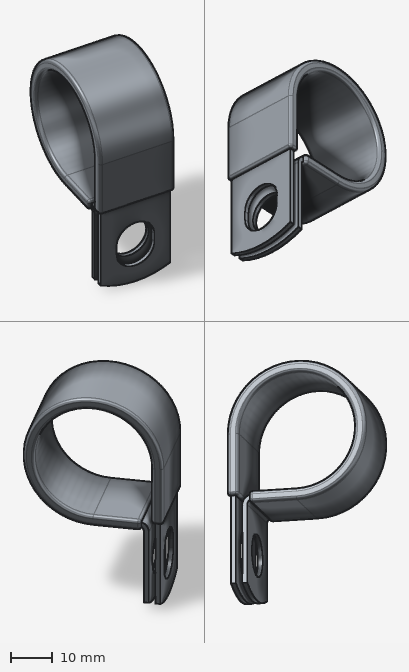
import cadquery as cq
import math

DIAGONAL = math.sqrt(0.5)

loop_inner_radius = 14.2875
strap_thickness = 1.2192
strap_width = 19.05
cushion_thickness = 0.79375
tab_bottom_z = -38.866
tab_end_radius = 22.225
hole_diameter = 10.319
slot_length = 12.7
hole_to_tab_end = 11.1125
bend_inner_radius = strap_thickness
cushion_end_x = 11.69

cushion_width = strap_width + 2 * cushion_thickness
strap_inner_radius = loop_inner_radius + cushion_thickness
strap_outer_radius = strap_inner_radius + strap_thickness
loop_outer_radius = strap_outer_radius + cushion_thickness

bent_tab_outer_x = strap_inner_radius - 2 * cushion_thickness
bent_tab_inner_x = bent_tab_outer_x - strap_thickness
bend_outer_radius = bend_inner_radius + strap_thickness
bend_center_x = bent_tab_outer_x - bend_outer_radius
bend_center_z = -strap_inner_radius - bend_outer_radius

cushion_end_z = -loop_inner_radius - cushion_thickness

hole_z = tab_bottom_z + hole_to_tab_end


def extrude_centered(outline, width):
    """Extrude an XZ outline symmetrically about Y = 0."""
    return outline.close().extrude(width / 2, both=True)


def loop_outline(inner_radius, outer_radius, upright_end_z, flat_end_x):
    """Three-quarter ring with a straight upright leg and a straight flat leg."""
    inner_mid = inner_radius * DIAGONAL
    outer_mid = outer_radius * DIAGONAL
    return (
        cq.Workplane("XZ")
        .moveTo(outer_radius, upright_end_z)
        .lineTo(outer_radius, 0)
        .threePointArc((-outer_mid, outer_mid), (0, -outer_radius))
        .lineTo(flat_end_x, -outer_radius)
        .lineTo(flat_end_x, -inner_radius)
        .lineTo(0, -inner_radius)
        .threePointArc((-inner_mid, inner_mid), (inner_radius, 0))
        .lineTo(inner_radius, upright_end_z)
    )


def make_cushion():
    """Rubber cushion, rounded along both sides and around both ends."""
    outline = loop_outline(loop_inner_radius, loop_outer_radius, cushion_end_z, cushion_end_x)
    cushion = extrude_centered(outline, cushion_width)
    mid_radius = (loop_inner_radius + loop_outer_radius) / 2
    flat_end = cq.selectors.NearestToPointSelector((cushion_end_x, 0, -mid_radius))
    upright_end = cq.selectors.NearestToPointSelector((mid_radius, 0, cushion_end_z))
    rounded_edges = cushion.faces("|Y").edges()
    rounded_edges = rounded_edges.add(cushion.faces(flat_end).edges())
    rounded_edges = rounded_edges.add(cushion.faces(upright_end).edges())
    return rounded_edges.fillet(cushion_thickness)


def make_strap_loop():
    """Metal strap: loop, flat leg up to the bend, and straight upright tab."""
    outline = loop_outline(strap_inner_radius, strap_outer_radius, tab_bottom_z, bend_center_x)
    return extrude_centered(outline, strap_width)


def make_bent_tab():
    """Quarter bend from the flat leg down into the second tab."""
    outer_mid = bend_outer_radius * DIAGONAL
    inner_mid = bend_inner_radius * DIAGONAL
    outline = (
        cq.Workplane("XZ")
        .moveTo(bend_center_x, -strap_inner_radius)
        .threePointArc(
            (bend_center_x + outer_mid, bend_center_z + outer_mid),
            (bent_tab_outer_x, bend_center_z),
        )
        .lineTo(bent_tab_outer_x, tab_bottom_z)
        .lineTo(bent_tab_inner_x, tab_bottom_z)
        .lineTo(bent_tab_inner_x, bend_center_z)
        .threePointArc(
            (bend_center_x + inner_mid, bend_center_z + inner_mid),
            (bend_center_x, -strap_outer_radius),
        )
    )
    return extrude_centered(outline, strap_width)


def make_tab_end_trim():
    """Material outside the rounded lower end of both tabs."""
    half_width = strap_width / 2
    end_rise = tab_end_radius - math.sqrt(tab_end_radius**2 - half_width**2)
    corner_z = tab_bottom_z + end_rise
    trim_clearance = 1.0
    trim_floor_z = tab_bottom_z - trim_clearance
    return (
        cq.Workplane("YZ")
        .moveTo(-half_width, corner_z)
        .threePointArc((0, tab_bottom_z), (half_width, corner_z))
        .lineTo(half_width, trim_floor_z)
        .lineTo(-half_width, trim_floor_z)
        .close()
        .extrude(loop_outer_radius)
    )


def make_bolt_hole():
    """Round hole through the bent tab."""
    return (
        cq.Workplane("YZ", origin=(0, 0, hole_z))
        .circle(hole_diameter / 2)
        .extrude(bent_tab_outer_x)
    )


def make_bolt_slot():
    """Vertical slot through the upright tab, centered on the bolt hole."""
    slot_angle = 90
    return (
        cq.Workplane("YZ", origin=(bent_tab_outer_x, 0, hole_z))
        .slot2D(slot_length, hole_diameter, slot_angle)
        .extrude(loop_outer_radius - bent_tab_outer_x)
    )


strap = make_strap_loop().union(make_bent_tab())
strap = strap.cut(make_tab_end_trim())
strap = strap.cut(make_bolt_hole()).cut(make_bolt_slot())
result = strap.union(make_cushion())